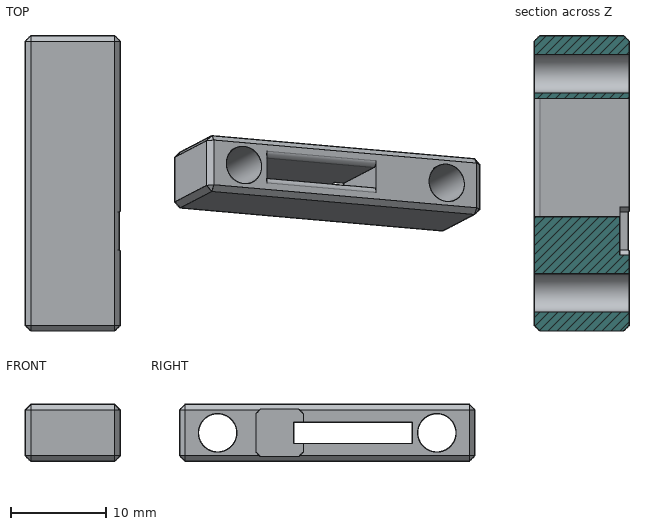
import cadquery as cq

width = 10.0
length = 31.0
height = 6.0
edge_size = 0.6

hole_diameter = 4.0
hole_spacing = 23.0

slot_length = 12.4
slot_height = 2.2
slot_y = 2.7

recess_size = 5.0
recess_corner = 0.5
recess_y = -5.0
recess_depth = 1.0

face_x = width / 2


def chamfered_block():
    return cq.Workplane("XY").box(width, length, height).edges().chamfer(edge_size)


def round_holes():
    return (
        cq.Workplane("YZ", origin=(-face_x, 0, 0))
        .pushPoints([(-hole_spacing / 2, 0), (hole_spacing / 2, 0)])
        .circle(hole_diameter / 2)
        .extrude(width)
    )


def flared_slot():
    """Slot whose upper and lower edges at the -X face are rounded over."""
    half_height = slot_height / 2
    mouth_half_height = half_height + edge_size
    round_end_x = -face_x + edge_size
    profile = (
        cq.Workplane("XZ", origin=(0, slot_y, 0))
        .moveTo(-face_x, -mouth_half_height)
        .radiusArc((round_end_x, -half_height), edge_size)
        .lineTo(face_x, -half_height)
        .lineTo(face_x, half_height)
        .lineTo(round_end_x, half_height)
        .radiusArc((-face_x, mouth_half_height), edge_size)
        .close()
    )
    return profile.extrude(slot_length / 2, both=True)


def side_recess():
    """Square pocket sunk into the +X face; it overlaps the end of the slot."""
    return (
        cq.Workplane("XY", origin=(face_x - recess_depth / 2, recess_y, 0))
        .box(recess_depth, recess_size, recess_size)
        .edges("|X")
        .chamfer(recess_corner)
    )


result = chamfered_block().cut(round_holes()).cut(flared_slot()).cut(side_recess())